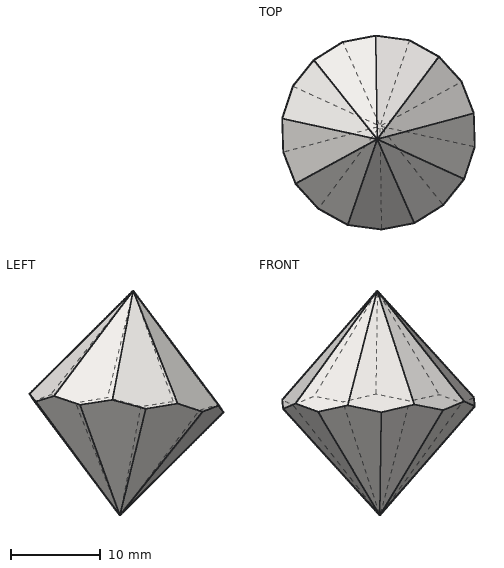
import cadquery as cq
import math

FACES_PER_END = 9
GIRDLE_RADIUS = 10.857
APEX_HEIGHT = 12.5475
SPIN = 11.57
LEAN_ABOUT_X = 3.385
LEAN_ABOUT_Y = -0.656

GIRDLE_CORNERS = 2 * FACES_PER_END
CORNER_STEP = math.pi / FACES_PER_END
GIRDLE_RISE = APEX_HEIGHT * math.tan(CORNER_STEP / 2) ** 2

ORIGIN = cq.Vector(0, 0, 0)
X_AXIS = cq.Vector(1, 0, 0)
Y_AXIS = cq.Vector(0, 1, 0)


def girdle_corner(index):
    """Corner of the zigzag girdle: even ones are raised, odd ones are lowered."""
    position = index % GIRDLE_CORNERS
    angle = math.radians(SPIN) + position * CORNER_STEP
    rise = GIRDLE_RISE if position % 2 == 0 else -GIRDLE_RISE
    return cq.Vector(GIRDLE_RADIUS * math.cos(angle), GIRDLE_RADIUS * math.sin(angle), rise)


def kite_face(index):
    """Flat kite from an apex to the girdle corner at index and its two neighbours."""
    apex_z = APEX_HEIGHT if index % 2 == 1 else -APEX_HEIGHT
    outline = [
        cq.Vector(0, 0, apex_z),
        girdle_corner(index - 1),
        girdle_corner(index),
        girdle_corner(index + 1),
    ]
    return cq.Face.makeFromWires(cq.Wire.makePolygon(outline, close=True))


def upright_die():
    """Trapezohedron centred on the origin with its axis along Z."""
    kites = [kite_face(index) for index in range(GIRDLE_CORNERS)]
    return cq.Workplane(cq.Solid.makeSolid(cq.Shell.makeShell(kites)))


result = (
    upright_die()
    .rotate(ORIGIN, X_AXIS, LEAN_ABOUT_X)
    .rotate(ORIGIN, Y_AXIS, LEAN_ABOUT_Y)
)